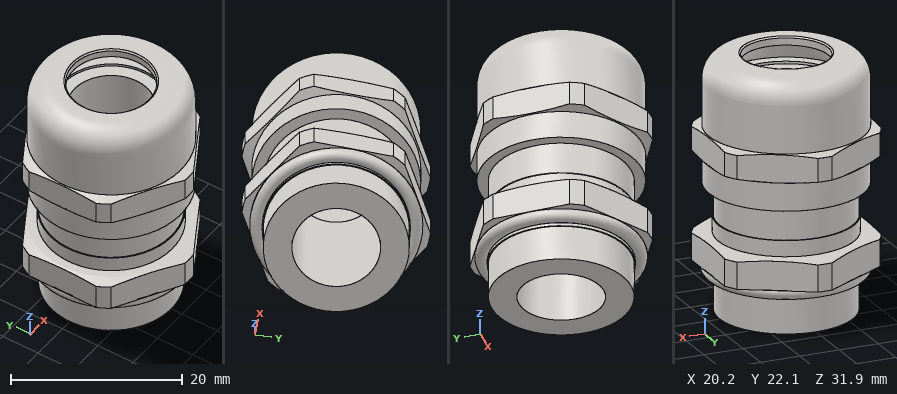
import cadquery as cq
import math


total_height = 31.85
collar_bottom = 4.45
o_ring_height = 5.5
body_hex_bottom = 5.95
body_hex_top = 9.68
collar_top = 11.7
cap_bottom = 15.8
cap_hex_bottom = 19.27
cap_hex_top = 22.93
seal_top = 27.9
body_top = 28.22
cone_top = 30.77

hex_flat_radius = 10.0
hex_corner_diameter = 22.15
hex_corner_radius = hex_corner_diameter / 2
hex_face_radius = 9.75
hex_chamfer_angle = 15.0

thread_radius = 8.5
collar_radius = 8.63
bore_radius = 5.15
seal_seat_radius = 6.78
seal_seat_height = cap_bottom

cap_radius = 9.85
cap_round = 3.03
cone_radius = 8.15
mouth_radius = 5.32
mouth_chamfer = 0.2

o_ring_outer_diameter = 20.15
o_ring_section_radius = 0.85
o_ring_center_radius = o_ring_outer_diameter / 2 - o_ring_section_radius


def cylinder(radius, bottom, top):
    return cq.Workplane("XY").workplane(offset=bottom).circle(radius).extrude(top - bottom)


def hexagon(bottom, top, chamfer_bottom):
    """Hexagon with flats facing +X and -X, turned corners and conical end chamfers."""
    corner_drop = (hex_corner_radius - hex_face_radius) * math.tan(math.radians(hex_chamfer_angle))
    turned = cq.Workplane("XZ").moveTo(0, bottom)
    if chamfer_bottom:
        turned = turned.lineTo(hex_face_radius, bottom).lineTo(hex_corner_radius, bottom + corner_drop)
    else:
        turned = turned.lineTo(hex_corner_radius, bottom)
    turned = (
        turned.lineTo(hex_corner_radius, top - corner_drop)
        .lineTo(hex_face_radius, top)
        .lineTo(0, top)
        .close()
        .revolve(360, (0, 0, 0), (0, 1, 0))
    )
    prism = (
        cq.Workplane("XY")
        .workplane(offset=bottom)
        .polygon(6, 2 * hex_flat_radius, circumscribed=True)
        .extrude(top - bottom)
    )
    return prism.intersect(turned)


def make_o_ring():
    return (
        cq.Workplane("XZ")
        .center(o_ring_center_radius, o_ring_height)
        .circle(o_ring_section_radius)
        .revolve(360, (-o_ring_center_radius, 0, 0), (-o_ring_center_radius, 1, 0))
    )


def make_body():
    """Threaded tube with collar and hexagon, bored through, with a seat for the seal."""
    body = (
        cylinder(thread_radius, 0, body_top)
        .union(cylinder(collar_radius, collar_bottom, collar_top))
        .union(hexagon(body_hex_bottom, body_hex_top, chamfer_bottom=False))
    )
    return (
        body.cut(cylinder(bore_radius, 0, body_top))
        .cut(cylinder(seal_seat_radius, seal_seat_height, body_top))
        .cut(make_o_ring())
    )


def make_seal():
    """Plain sleeve whose top lies just below the rim of the body."""
    return cylinder(seal_seat_radius, seal_seat_height, seal_top).cut(
        cylinder(bore_radius, seal_seat_height, seal_top)
    )


def make_cap():
    """Domed nut with a threaded bore, a conical cavity and a chamfered mouth."""
    shell = cylinder(cap_radius, cap_bottom, total_height).faces(">Z").edges().fillet(cap_round)
    shell = shell.union(hexagon(cap_hex_bottom, cap_hex_top, chamfer_bottom=True))
    thread_bore = cylinder(thread_radius, cap_bottom, body_top)
    cone = (
        cq.Workplane("XZ")
        .polyline([(0, body_top), (cone_radius, body_top), (mouth_radius, cone_top), (0, cone_top)])
        .close()
        .revolve(360, (0, 0, 0), (0, 1, 0))
    )
    mouth = cylinder(mouth_radius, cap_bottom, total_height)
    cap = shell.cut(thread_bore).cut(cone).cut(mouth)
    mouth_edge = cq.selectors.RadiusNthSelector(0)
    return cap.faces(">Z").edges(mouth_edge).chamfer(mouth_chamfer)


body = make_body()
seal = make_seal()
cap = make_cap()
o_ring = make_o_ring()

result = cq.Compound.makeCompound(
    [
        body.solids().val(),
        seal.solids().val(),
        cap.solids().val(),
        o_ring.solids().val(),
    ]
)